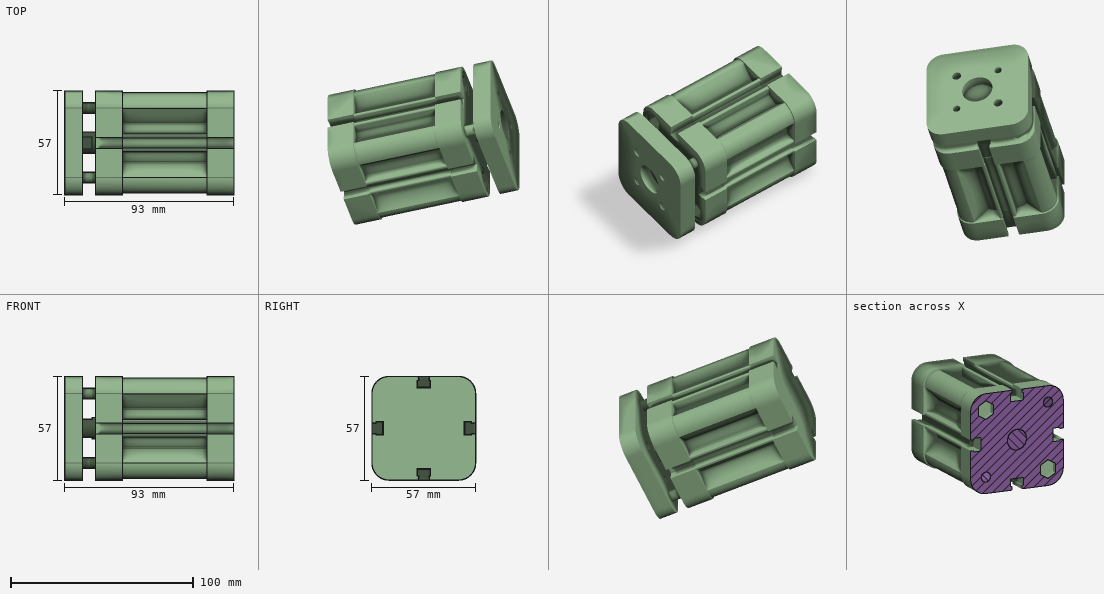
import cadquery as cq
import math

LENGTH = 93.0
SIDE = 57.0
CORNER_RADIUS = 9.5
HALF_SIDE = SIDE / 2

PLATE_THICKNESS = 9.95
PLATE_RECESS_DIAMETER = 17.0
PLATE_RECESS_DEPTH = 6.3
PLATE_HOLE_OFFSET = 11.6
PLATE_LARGE_HOLE_DIAMETER = 5.0
PLATE_SMALL_HOLE_DIAMETER = 4.2

HOUSING_START = 16.9
CAP_LENGTH = 14.8
BARREL_START = HOUSING_START + CAP_LENGTH
BARREL_END = LENGTH - CAP_LENGTH

CORNER_OFFSET = HALF_SIDE - CORNER_RADIUS
COLUMN_RADIUS = 8.65
BARREL_HALF_SIDE = CORNER_OFFSET + COLUMN_RADIUS
TUBE_RADIUS = 22.3
GROOVE_PLANE_RISE = 8.7
GROOVE_FILLET = 0.7
RIB_HALF_WIDTH = 4.7
RIB_HEIGHT = BARREL_HALF_SIDE
RIB_TOP_FILLET = 0.8
RIB_ROOT_FILLET = 0.9

CAP_SLOT_WIDTH = 6.0
BARREL_SLOT_WIDTH = 5.5
CAP_UNDERCUT_WIDTH = 7.4
BARREL_UNDERCUT_WIDTH = 6.7
UNDERCUT_TOP = 26.2
CAP_SLOT_FLOOR = 22.1
BARREL_SLOT_FLOOR = 22.7
SLOT_LIP_FILLET = 0.65

SOCKET_RECESS_DIAMETER = 13.95
SOCKET_RECESS_DEPTH = 0.5
HEX_ACROSS_FLATS = 9.0
HEX_DEPTH = 5.8

PISTON_ROD_DIAMETER = 12.0
ROD_FLAT_WIDTH = 10.0
ROD_FLAT_END = 15.2
GUIDE_ROD_DIAMETER = 5.95
ROD_END = BARREL_START
GUIDE_ROD_PLACES = [(-CORNER_OFFSET, CORNER_OFFSET), (CORNER_OFFSET, -CORNER_OFFSET)]
SOCKET_PLACES = [(CORNER_OFFSET, CORNER_OFFSET), (-CORNER_OFFSET, -CORNER_OFFSET)]

EDGE_TOLERANCE = 0.01
OTHER_SIDE_ANGLES = [90, 180, 270]


def section_at(x):
    """Sketch plane across the X axis, with local axes along Y and Z."""
    return cq.Workplane("YZ", origin=(x, 0, 0))


def cylinder(places, diameter, start, end):
    return section_at(start).pushPoints(places).circle(diameter / 2).extrude(end - start)


def around_sides(shape):
    """The shape of the +Z side repeated on all four sides, as one tool."""
    tool = shape
    for angle in OTHER_SIDE_ANGLES:
        tool = tool.union(shape.rotate((0, 0, 0), (1, 0, 0), angle))
    return tool


def rounded_block(start, end):
    block = section_at(start).rect(SIDE, SIDE).extrude(end - start)
    return block.edges("|X").fillet(CORNER_RADIUS)


def make_plate():
    plate = rounded_block(0, PLATE_THICKNESS)
    plate = plate.cut(cylinder([(0, 0)], PLATE_RECESS_DIAMETER, 0, PLATE_RECESS_DEPTH))
    offset = PLATE_HOLE_OFFSET
    large_places = [(offset, offset), (-offset, -offset)]
    small_places = [(offset, -offset), (-offset, offset)]
    plate = plate.cut(cylinder(large_places, PLATE_LARGE_HOLE_DIAMETER, 0, PLATE_THICKNESS))
    return plate.cut(cylinder(small_places, PLATE_SMALL_HOLE_DIAMETER, 0, PLATE_THICKNESS))


def make_piston_rod():
    rod = cylinder([(0, 0)], PISTON_ROD_DIAMETER, PLATE_THICKNESS, ROD_END)
    cut_height = PISTON_ROD_DIAMETER - ROD_FLAT_WIDTH
    cut_center = (ROD_FLAT_WIDTH + cut_height) / 2
    flats = (
        section_at(PLATE_THICKNESS)
        .pushPoints([(0, cut_center), (0, -cut_center)])
        .rect(PISTON_ROD_DIAMETER, cut_height)
        .extrude(ROD_FLAT_END - PLATE_THICKNESS)
    )
    return rod.cut(flats)


def make_guide_rod(place):
    return cylinder([place], GUIDE_ROD_DIAMETER, PLATE_THICKNESS, ROD_END)


def side_groove():
    """The 45-degree V-groove between the columns of the +Z side, before tube and rib fill its middle."""
    top = HALF_SIDE
    half_top = top - GROOVE_PLANE_RISE
    return (
        section_at(BARREL_START)
        .polyline([(-half_top, top), (half_top, top), (0, GROOVE_PLANE_RISE)])
        .close()
        .extrude(BARREL_END - BARREL_START)
    )


def make_barrel():
    length = BARREL_END - BARREL_START
    columns = section_at(BARREL_START).rect(2 * BARREL_HALF_SIDE, 2 * BARREL_HALF_SIDE).extrude(length)
    columns = columns.edges("|X").fillet(COLUMN_RADIUS)
    columns = columns.cut(around_sides(side_groove()))
    tube = cylinder([(0, 0)], 2 * TUBE_RADIUS, BARREL_START, BARREL_END)
    rib = section_at(BARREL_START).rect(2 * RIB_HALF_WIDTH, 2 * RIB_HEIGHT).extrude(length)
    ribs = rib.union(rib.rotate((0, 0, 0), (1, 0, 0), 90))
    barrel = columns.union(tube).union(ribs)

    groove_root = groove_root_offset()
    rib_root_height = math.sqrt(TUBE_RADIUS**2 - RIB_HALF_WIDTH**2)
    barrel = fillet_lines(barrel, groove_root, groove_root + GROOVE_PLANE_RISE, GROOVE_FILLET)
    barrel = fillet_lines(barrel, RIB_HALF_WIDTH, rib_root_height, RIB_ROOT_FILLET)
    return fillet_lines(barrel, RIB_HALF_WIDTH, RIB_HEIGHT, RIB_TOP_FILLET)


def groove_root_offset():
    """Distance from the side's middle at which the groove plane meets the tube."""
    rise = GROOVE_PLANE_RISE
    return (math.sqrt(2 * TUBE_RADIUS**2 - rise**2) - rise) / 2


def fillet_lines(barrel, across, height, radius):
    """Fillet the eight lengthwise edges that lie at this place on the four sides."""
    places = sorted([across, height])

    def matches(edge):
        center = edge.Center()
        found = sorted([abs(center.y), abs(center.z)])
        return math.dist(found, places) < EDGE_TOLERANCE

    return barrel.edges("|X").filter(matches).fillet(radius)


def slot_box(width, bottom, top, start, end):
    """Lengthwise box centred on the +Z side, between two heights."""
    return section_at(start).center(0, (bottom + top) / 2).rect(width, top - bottom).extrude(end - start)


def t_slot(mouth_width, undercut_width, floor, start, end):
    """Lipped slot of the +Z side: a narrow mouth above a wider undercut."""
    mouth = slot_box(mouth_width, floor, HALF_SIDE, start, end)
    undercut = slot_box(undercut_width, floor, UNDERCUT_TOP, start, end)
    return mouth.union(undercut)


def cut_hex_sockets(housing):
    recess_end = HOUSING_START + SOCKET_RECESS_DEPTH
    housing = housing.cut(cylinder(SOCKET_PLACES, SOCKET_RECESS_DIAMETER, HOUSING_START, recess_end))
    corner_diameter = HEX_ACROSS_FLATS / math.cos(math.pi / 6)
    for y, z in SOCKET_PLACES:
        socket = cq.Workplane("YZ").polygon(6, corner_diameter).extrude(HEX_DEPTH)
        socket = socket.rotate((0, 0, 0), (1, 0, 0), 90).translate((recess_end, y, z))
        housing = housing.cut(socket)
    return housing


def make_housing():
    front_cap = rounded_block(HOUSING_START, BARREL_START)
    rear_cap = rounded_block(BARREL_END, LENGTH)
    cap_slot = t_slot(CAP_SLOT_WIDTH, CAP_UNDERCUT_WIDTH, CAP_SLOT_FLOOR, HOUSING_START, LENGTH)
    cap_slots = around_sides(cap_slot)
    barrel_slot = t_slot(
        BARREL_SLOT_WIDTH, BARREL_UNDERCUT_WIDTH, BARREL_SLOT_FLOOR, BARREL_START, BARREL_END
    )
    barrel = make_barrel().cut(around_sides(barrel_slot))
    barrel = fillet_lines(barrel, BARREL_SLOT_WIDTH / 2, RIB_HEIGHT, SLOT_LIP_FILLET)
    housing = barrel.union(front_cap.cut(cap_slots)).union(rear_cap.cut(cap_slots))
    housing = cut_hex_sockets(housing)
    rod_hole = cylinder([(0, 0)], PISTON_ROD_DIAMETER, HOUSING_START, ROD_END)
    guide_holes = cylinder(GUIDE_ROD_PLACES, GUIDE_ROD_DIAMETER, HOUSING_START, ROD_END)
    return housing.cut(rod_hole).cut(guide_holes)


plate = make_plate()
piston_rod = make_piston_rod()
guide_rods = [make_guide_rod(place) for place in GUIDE_ROD_PLACES]
housing = make_housing()

result = cq.Compound.makeCompound(
    [plate.val(), piston_rod.val(), *[rod.val() for rod in guide_rods], housing.val()]
)